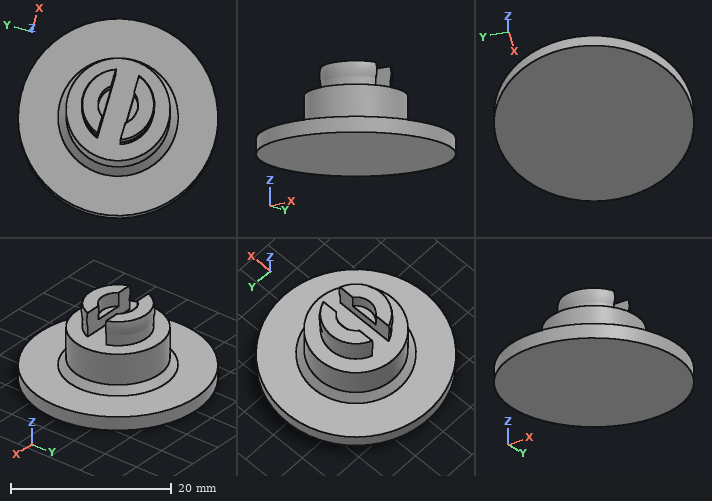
import cadquery as cq

flange_diameter = 25
flange_height = 2
boss_diameter = 13
boss_top = 7.5
collar_size = 1

neck_radius = 4.45
bulge_radius = 4.6
neck_top = 9
plug_top = 11
bore_diameter = 5
bore_depth = 2
slot_width = 3

flange_radius = flange_diameter / 2
boss_radius = boss_diameter / 2
bulge_middle = (neck_top + plug_top) / 2

body = (
    cq.Workplane("XZ")
    .lineTo(flange_radius, 0)
    .lineTo(flange_radius, flange_height)
    .lineTo(boss_radius + collar_size, flange_height)
    .lineTo(boss_radius, flange_height + collar_size)
    .lineTo(boss_radius, boss_top)
    .lineTo(neck_radius, boss_top)
    .lineTo(neck_radius, neck_top)
    .threePointArc((bulge_radius, bulge_middle), (neck_radius, plug_top))
    .lineTo(0, plug_top)
    .close()
    .revolve(360, (0, 0), (0, 1))
)

bore_floor = plug_top - bore_depth
bore = cq.Workplane("XY").workplane(offset=bore_floor).circle(bore_diameter / 2).extrude(bore_depth)

plug_height = plug_top - boss_top
slot = cq.Workplane("XY").workplane(offset=boss_top).rect(boss_diameter, slot_width).extrude(plug_height)

result = body.cut(bore).cut(slot)